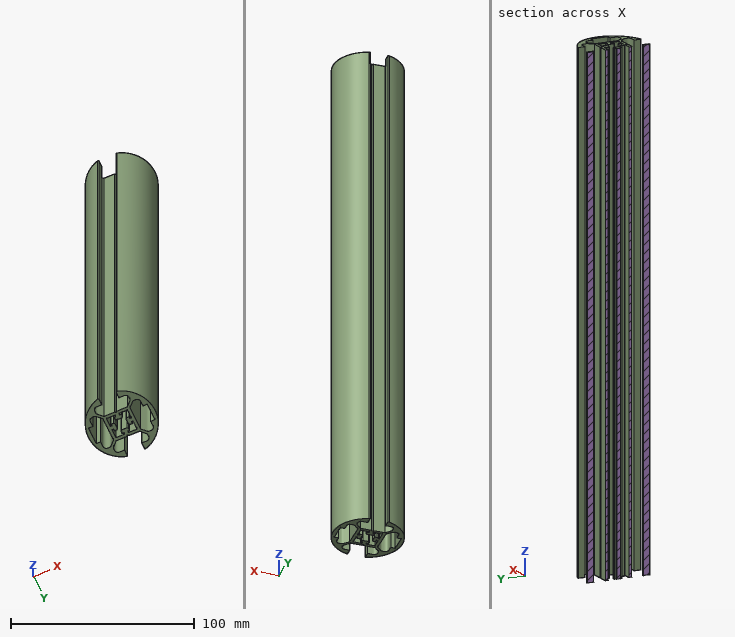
import cadquery as cq
import math

length = 300.0
outer_diameter = 40.0
outer_radius = outer_diameter / 2

slot_width = 10.2
height_over_lips = 38.0

lip_depth = 15.0
cavity_half_width = 10.2
floor_depth = 8.0
web_thickness = 1.5
cavity_corner_radius = 2.0

side_wall_thickness = 2.5

groove_width = 1.2
groove_depth = 0.5

core_wall_thickness = 1.8
core_half_width = floor_depth - core_wall_thickness
rib_tip_distance = 3.3
rib_neck_width = 2.5
rib_head_width = 4.5
rib_head_height = 2.0
rib_head_chamfer = 0.5


def bar(profile):
    """Extrude a closed profile over the full length of the part."""
    return profile.extrude(length)


def turned(solid, angle):
    """Turn a solid about the part axis."""
    return solid.rotate((0, 0, 0), (0, 0, 1), angle)


def block(width, y_near, y_far):
    """Full-length block centred on X = 0, between two distances along +Y."""
    middle = (y_near + y_far) / 2
    return bar(cq.Workplane("XY").center(0, middle).rect(width, y_far - y_near))


def undercut_cavity():
    """Cavity towards +Y; its lower flanks follow the diagonal webs between neighbouring cavities."""
    flank_offset = web_thickness / math.sqrt(2)
    floor_half_width = floor_depth - flank_offset
    shoulder_height = cavity_half_width + flank_offset
    half = [
        (cavity_half_width, lip_depth),
        (cavity_half_width, shoulder_height),
        (floor_half_width, floor_depth),
    ]
    mirrored = [(-x, y) for x, y in reversed(half)]
    cavity = bar(cq.Workplane("XY").polyline(half + mirrored).close())
    side_wall_edges = cavity.faces(">X or <X").edges("|Z")
    return side_wall_edges.fillet(cavity_corner_radius)


def open_slot():
    """Slot towards +Y, from the cavity out through the outer surface."""
    return block(slot_width, floor_depth, outer_diameter)


def groove():
    """Shallow V along the middle of a cavity floor."""
    half_width = groove_width / 2
    points = [(-half_width, floor_depth), (half_width, floor_depth), (0, floor_depth - groove_depth)]
    return bar(cq.Workplane("XY").polyline(points).close())


def closed_recess():
    """Slot towards +Y that stops short of the outer surface."""
    return block(slot_width, floor_depth, outer_radius - side_wall_thickness)


def screw_rib():
    """T-shaped rib from the +Y core wall towards the axis."""
    neck_start = rib_tip_distance + rib_head_chamfer
    neck_end = core_half_width + core_wall_thickness / 2
    neck = block(rib_neck_width, neck_start, neck_end)
    head = block(rib_head_width, rib_tip_distance, rib_tip_distance + rib_head_height)
    head = head.edges("|Z").edges("<Y").chamfer(rib_head_chamfer)
    return neck.union(head)


result = bar(cq.Workplane("XY").circle(outer_radius))
result = result.intersect(bar(cq.Workplane("XY").rect(outer_diameter, height_over_lips)))
for angle in (0, 180):
    result = result.cut(turned(open_slot(), angle))

for angle in (0, 90, 180, 270):
    result = result.cut(turned(undercut_cavity(), angle))
for angle in (90, 270):
    result = result.cut(turned(closed_recess(), angle))
for angle in (0, 180):
    result = result.cut(turned(groove(), angle))

result = result.cut(bar(cq.Workplane("XY").rect(2 * core_half_width, 2 * core_half_width)))
for angle in (0, 90, 180, 270):
    result = result.union(turned(screw_rib(), angle))